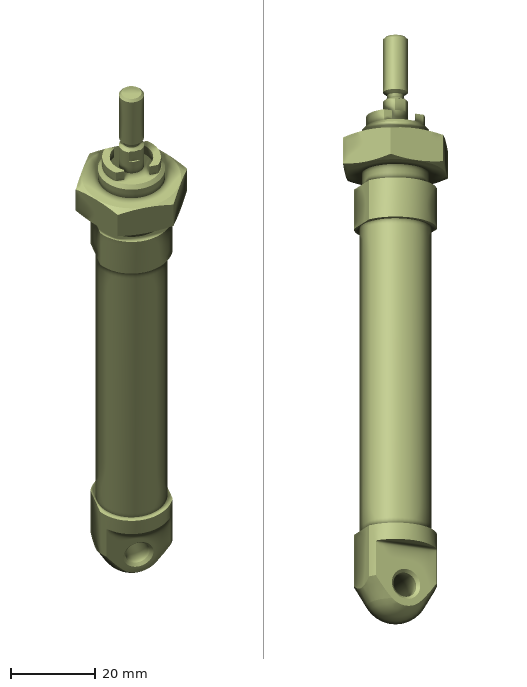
import cadquery as cq
import math

part_top = 146.0
thread_bottom = 132.3
wrench_flat_top = 130.1
wrench_flat_bottom = 127.0
tab_top = 126.1
boss_top = 123.5
nut_top = 120.0
nut_height = 8.0
front_collar_top = 108.0
front_collar_bottom = 98.3
rear_collar_top = 21.9
tongue_top = 17.8

tube_diameter = 17.2
collar_diameter = 19.9
collar_flat_distance = 18.0
boss_diameter = 16.0
boss_top_diameter = 14.3
boss_chamfer_height = 0.9
tab_outer_diameter = 14.0
tab_inner_diameter = 10.4
tab_width = 9.3
tab_slot_width = 6.3

tongue_thickness = 11.8
nose_radius = 8.0
nose_cone_slope = math.radians(60)
eye_diameter = 6.0
eye_countersink = 0.7
tongue_root_fillet = 0.5

rod_diameter = 6.0
rod_tip_diameter = 4.8
rod_tip_chamfer_height = 0.6
neck_diameter = 4.1
neck_chamfer_height = 0.7
neck_height = 0.9
wrench_flat_distance = 5.3
rod_seat = front_collar_bottom

nut_width = 24.0
nut_face_diameter = 23.7
nut_corner_drop = 0.7


def cylinder(diameter, bottom, top):
    """Vertical cylinder on the Z axis."""
    return cq.Workplane("XY").workplane(offset=bottom).circle(diameter / 2).extrude(top - bottom)


def block(size_x, size_y, bottom, top):
    """Upright rectangular block centred on the Z axis."""
    return cq.Workplane("XY").workplane(offset=bottom).rect(size_x, size_y).extrude(top - bottom)


def revolve_profile(profile):
    """Turn a closed (radius, height) profile about the Z axis."""
    return profile.close().revolve(360, (0, 0, 0), (0, 1, 0))


def make_collar(bottom, top):
    """Round collar with two wrench flats facing -Y and +Y."""
    flats = block(collar_diameter, collar_flat_distance, bottom, top)
    return cylinder(collar_diameter, bottom, top).intersect(flats)


def make_boss():
    """Mounting boss with a chamfered upper rim."""
    radius = boss_diameter / 2
    profile = (
        cq.Workplane("XZ")
        .moveTo(0, front_collar_top)
        .lineTo(radius, front_collar_top)
        .lineTo(radius, boss_top - boss_chamfer_height)
        .lineTo(boss_top_diameter / 2, boss_top)
        .lineTo(0, boss_top)
    )
    return revolve_profile(profile)


def make_tabs():
    """Two curved tabs on the boss: a ring trimmed in width and parted by a slot along X."""
    ring = cylinder(tab_outer_diameter, boss_top, tab_top).cut(
        cylinder(tab_inner_diameter, boss_top, tab_top)
    )
    slot = block(tab_width, tab_slot_width, boss_top, tab_top)
    return ring.intersect(block(tab_width, tab_outer_diameter, boss_top, tab_top)).cut(slot)


def make_rear_eye():
    """Rear collar and flat-sided tongue with a domed nose and a cross hole."""
    outer_radius = collar_diameter / 2
    tangent_radius = nose_radius * math.sin(nose_cone_slope)
    tangent_height = nose_radius * (1 - math.cos(nose_cone_slope))
    cone_top = tangent_height + (outer_radius - tangent_radius) * math.tan(nose_cone_slope)
    mid_angle = nose_cone_slope / 2
    profile = (
        cq.Workplane("XZ")
        .moveTo(0, 0)
        .threePointArc(
            (nose_radius * math.sin(mid_angle), nose_radius * (1 - math.cos(mid_angle))),
            (tangent_radius, tangent_height),
        )
        .lineTo(outer_radius, cone_top)
        .lineTo(outer_radius, tongue_top)
        .lineTo(0, tongue_top)
    )
    tongue = revolve_profile(profile).intersect(
        block(tongue_thickness, collar_flat_distance, 0, tongue_top)
    )
    hole = (
        cq.Workplane("YZ")
        .center(0, nose_radius)
        .circle(eye_diameter / 2)
        .extrude(tongue_thickness / 2, both=True)
    )
    tongue = tongue.cut(hole)
    hole_rims = cq.selectors.RadiusNthSelector(0)
    tongue = tongue.faces("<X or >X").edges("%CIRCLE").edges(hole_rims).chamfer(eye_countersink)
    eye = make_collar(tongue_top, rear_collar_top).union(tongue)
    root_selector = cq.selectors.BoxSelector(
        (-tongue_thickness, -collar_diameter, tongue_top - tongue_root_fillet),
        (tongue_thickness, collar_diameter, tongue_top + tongue_root_fillet),
    )
    return eye.edges("|Y").edges(root_selector).fillet(tongue_root_fillet)


def make_cylinder_body():
    """Cylinder tube with both end pieces and the bore that holds the rod."""
    return (
        cylinder(tube_diameter, rear_collar_top, front_collar_bottom)
        .union(make_collar(front_collar_bottom, front_collar_top))
        .union(make_boss())
        .union(make_tabs())
        .union(make_rear_eye())
        .cut(cylinder(rod_diameter, rod_seat, boss_top))
    )


def make_rod():
    """Piston rod with a chamfered tip, a neck below the thread and two wrench flats."""
    radius = rod_diameter / 2
    neck_radius = neck_diameter / 2
    neck_top = thread_bottom - neck_chamfer_height
    neck_bottom = neck_top - neck_height
    profile = (
        cq.Workplane("XZ")
        .moveTo(0, rod_seat)
        .lineTo(radius, rod_seat)
        .lineTo(radius, neck_bottom - neck_chamfer_height)
        .lineTo(neck_radius, neck_bottom)
        .lineTo(neck_radius, neck_top)
        .lineTo(radius, thread_bottom)
        .lineTo(radius, part_top - rod_tip_chamfer_height)
        .lineTo(rod_tip_diameter / 2, part_top)
        .lineTo(0, part_top)
    )
    flat_cutter = block(rod_diameter, rod_diameter, wrench_flat_bottom, wrench_flat_top).cut(
        block(wrench_flat_distance, rod_diameter, wrench_flat_bottom, wrench_flat_top)
    )
    return revolve_profile(profile).cut(flat_cutter)


def make_nut():
    """Hexagon nut with corners bevelled at both faces, bored to fit the boss."""
    nut_bottom = nut_top - nut_height
    corner_diameter = nut_width / math.cos(math.pi / 6)
    hexagon = (
        cq.Workplane("XY")
        .workplane(offset=nut_bottom)
        .polygon(6, corner_diameter)
        .extrude(nut_height)
        .rotate((0, 0, 0), (0, 0, 1), 30)
    )
    face_radius = nut_face_diameter / 2
    corner_radius = corner_diameter / 2
    bevel_profile = (
        cq.Workplane("XZ")
        .moveTo(0, nut_bottom)
        .lineTo(face_radius, nut_bottom)
        .lineTo(corner_radius, nut_bottom + nut_corner_drop)
        .lineTo(corner_radius, nut_top - nut_corner_drop)
        .lineTo(face_radius, nut_top)
        .lineTo(0, nut_top)
    )
    bore = cylinder(boss_diameter, nut_bottom, nut_top)
    return hexagon.intersect(revolve_profile(bevel_profile)).cut(bore)


cylinder_body = make_cylinder_body()
rod = make_rod()
nut = make_nut()

result = cq.Compound.makeCompound([cylinder_body.val(), rod.val(), nut.val()])